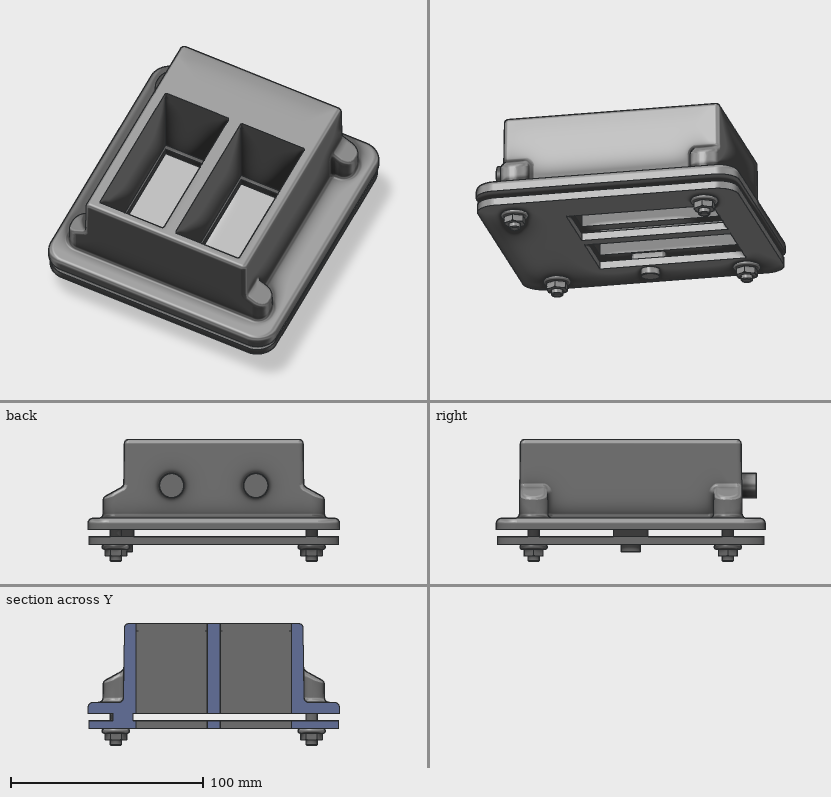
import cadquery as cq
import math

flange_x = 131.0
flange_y = 140.0
flange_height = 6.0
flange_corner_radius = 11.0
flange_edge_round = 2.8

housing_x = 94.2
housing_y = 116.0
housing_height = 41.0
draft_angle = 0.8
housing_round = 2.4
base_fillet = 2.2
base_search_margin = 0.1

stud_x = 51.0
stud_y = 50.5
lug_reach = 57.7
lug_corner_radius = 6.5
lug_height_at_stud = 14.4
lug_slope = 29.0

opening_spacing = 43.8
opening_x = 37.0
opening_y = 77.8
opening_center_y = -13.6
opening_corner_radius = 1.0
lip_depth = 4.0

port_diameter = 13.0
port_end_y = 65.5
port_height = 17.0
port_chamfer = 0.3

plate_margin = 0.5
plate_gap = 3.6
plate_thickness = 4.0

stud_diameter = 6.0
stud_tip = 2.8
stud_chamfer = 0.5
washer_diameter = 14.3
washer_height = 2.5
washer_face_diameter = 11.8
nut_across_flats = 10.0
nut_height = 3.5
nut_chamfer = 0.4

spacer_center_x = 47.2
spacer_x = 11.2
spacer_y = 18.2
spacer_corner_radius = 1.7
pin_diameter = 10.0
pin_length = 3.8
pin_chamfer = 0.3

housing_top = flange_height + housing_height
plate_top = -plate_gap
plate_bottom = plate_top - plate_thickness
washer_bottom = plate_bottom - washer_height
nut_bottom = washer_bottom - nut_height
stud_bottom = nut_bottom - stud_tip

stud_points = [(sx * stud_x, sy * stud_y) for sx in (-1, 1) for sy in (-1, 1)]
opening_columns = [-opening_spacing / 2, opening_spacing / 2]


def block(size_x, size_y, bottom, height, corner_radius):
    """Upright block with rounded vertical edges, centred on the Z axis."""
    plain = cq.Workplane("XY").box(size_x, size_y, height, centered=(True, True, False))
    return plain.edges("|Z").fillet(corner_radius).translate((0, 0, bottom))


def lug(side_x, side_y):
    """Drafted lug that grows out of one housing corner, flush with the housing's end wall."""
    outer_y = housing_y / 2
    inner_y = 2 * stud_y - outer_y
    inner_x = housing_x / 4
    prism = (
        cq.Workplane("XY", origin=(0, (outer_y + inner_y) / 2, flange_height))
        .center((lug_reach + inner_x) / 2, 0)
        .sketch()
        .rect(lug_reach - inner_x, outer_y - inner_y)
        .vertices(">X")
        .fillet(lug_corner_radius)
        .finalize()
        .extrude(housing_height / 2, taper=draft_angle)
    )
    rise = math.tan(math.radians(lug_slope))
    stud_level = flange_height + lug_height_at_stud
    outer_level = stud_level - rise * (lug_reach - stud_x)
    inner_level = stud_level + rise * (stud_x - inner_x)
    below_slope = (
        cq.Workplane("XZ")
        .moveTo(inner_x, 0)
        .lineTo(lug_reach, 0)
        .lineTo(lug_reach, outer_level)
        .lineTo(inner_x, inner_level)
        .close()
        .extrude(-flange_y / 2)
    )
    shape = prism.intersect(below_slope)
    if side_x < 0:
        shape = shape.mirror("YZ")
    if side_y < 0:
        shape = shape.mirror("XZ")
    return shape


def rounded_housing():
    """Drafted box with its four lugs; every edge but those of the base is rounded."""
    body = (
        cq.Workplane("XY", origin=(0, 0, flange_height))
        .rect(housing_x, housing_y)
        .extrude(housing_height, taper=draft_angle)
    )
    for side_x in (-1, 1):
        for side_y in (-1, 1):
            body = body.union(lug(side_x, side_y))
    return body.edges("not(<Z)").fillet(housing_round)


def cover():
    """Flange and housing, with a fillet where they meet."""
    flange = block(flange_x, flange_y, 0, flange_height, flange_corner_radius)
    flange = flange.faces(">Z").edges().fillet(flange_edge_round)
    flange_inner_x = flange_x / 2 - flange_edge_round - base_search_margin
    flange_inner_y = flange_y / 2 - flange_edge_round - base_search_margin
    base_edges = cq.selectors.BoxSelector(
        (-flange_inner_x, -flange_inner_y, flange_height - base_search_margin),
        (flange_inner_x, flange_inner_y, flange_height + base_search_margin),
        boundingbox=True,
    )
    return flange.union(rounded_housing()).edges(base_edges).fillet(base_fillet)


def ports():
    """Round stubs on the +Y wall, in line with the openings and merged into the wall."""
    wall_y = housing_y / 2 - housing_round
    stubs = (
        cq.Workplane("XZ", origin=(0, wall_y, flange_height + port_height))
        .pushPoints([(x, 0) for x in opening_columns])
        .circle(port_diameter / 2)
        .extrude(wall_y - port_end_y)
    )
    return stubs.faces(">Y").edges().chamfer(port_chamfer)


def washer():
    """Washer on the Z axis, against the plate, with its whole rim bulging outward."""
    face_radius = washer_face_diameter / 2
    rim_middle = (washer_diameter / 2, plate_bottom - washer_height / 2)
    return (
        cq.Workplane("XZ")
        .moveTo(0, plate_bottom)
        .lineTo(face_radius, plate_bottom)
        .threePointArc(rim_middle, (face_radius, washer_bottom))
        .lineTo(0, washer_bottom)
        .close()
        .revolve(360, (0, 0, 0), (0, 1, 0))
    )


def nut():
    """Hexagon nut on the Z axis, below the washer, with its lower corners clipped by a cone."""
    across_corners = nut_across_flats / math.cos(math.radians(30))
    hexagon = (
        cq.Workplane("XY", origin=(0, 0, nut_bottom))
        .polygon(6, across_corners)
        .extrude(nut_height)
    )
    turned_blank = (
        cq.Workplane("XY", origin=(0, 0, nut_bottom))
        .circle(across_corners / 2)
        .extrude(nut_height)
        .faces("<Z")
        .edges()
        .chamfer(nut_chamfer)
    )
    return hexagon.intersect(turned_blank)


def at_studs(fastener):
    """Copies of a fastener on every stud axis."""
    copies = [fastener.translate((x, y, 0)).val() for x, y in stud_points]
    return cq.Workplane("XY").newObject(copies).combine()


def fasteners():
    """Stud, washer and hexagon nut at each corner; the studs run up into the flange."""
    stud_length = flange_height - stud_bottom
    studs = (
        cq.Workplane("XY", origin=(0, 0, stud_bottom))
        .pushPoints(stud_points)
        .circle(stud_diameter / 2)
        .extrude(stud_length)
        .faces("<Z")
        .edges()
        .chamfer(stud_chamfer)
    )
    return studs.union(at_studs(washer())).union(at_studs(nut()))


def spacer():
    """Rounded block between flange and plate, with a pin that shows below the plate."""
    spacer_block = block(spacer_x, spacer_y, plate_top, plate_gap, spacer_corner_radius)
    pin = (
        cq.Workplane("XY", origin=(0, 0, plate_bottom - pin_length))
        .circle(pin_diameter / 2)
        .extrude(pin_length + plate_thickness)
        .faces("<Z")
        .edges()
        .chamfer(pin_chamfer)
    )
    return spacer_block.union(pin).translate((spacer_center_x, 0, 0))


def openings():
    """Cutting shape for the two openings, through the housing and the plate."""
    pocket_height = housing_top - lip_depth - plate_bottom
    lip = block(opening_x, opening_y, housing_top - lip_depth, lip_depth, opening_corner_radius)
    pocket = cq.Workplane("XY", origin=(0, 0, plate_bottom)).box(
        opening_x, opening_y, pocket_height, centered=(True, True, False)
    )
    opening = lip.union(pocket)
    left, right = [opening.translate((x, opening_center_y, 0)) for x in opening_columns]
    return left.union(right)


plate = block(
    flange_x - 2 * plate_margin,
    flange_y - 2 * plate_margin,
    plate_bottom,
    plate_thickness,
    flange_corner_radius,
)

result = cover().union(ports()).union(plate).union(fasteners()).union(spacer()).cut(openings())